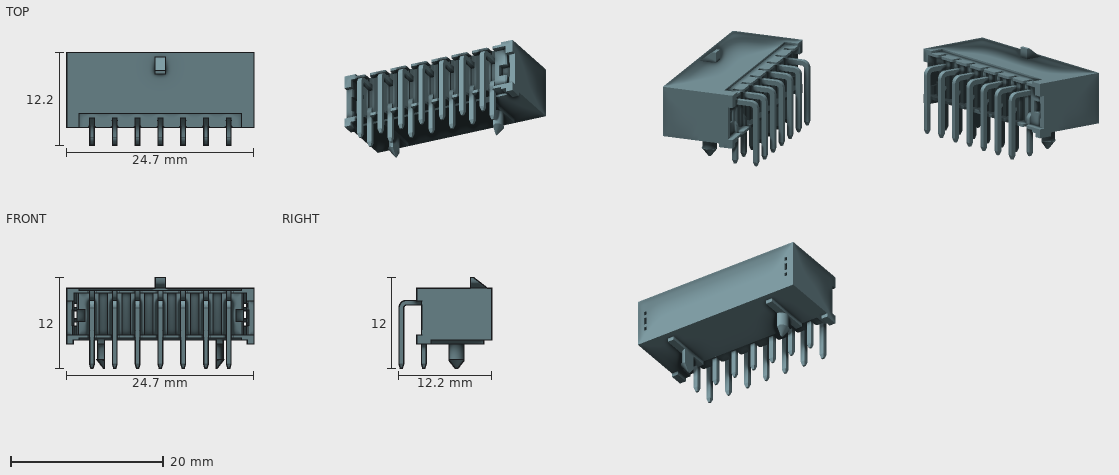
import cadquery as cq


HOUSING_WIDTH = 24.7
HOUSING_DEPTH = 9.9
HOUSING_HEIGHT = 6.85
STANDOFF = 0.52
HOUSING_BOTTOM = STANDOFF
HOUSING_TOP = STANDOFF + HOUSING_HEIGHT
HALF_WIDTH = HOUSING_WIDTH / 2

RECESS_WIDTH = 21.35
RECESS_DEPTH = 1.86
RECESS_TOP_STEP = 0.32
RECESS_BOTTOM_STEP = 0.3

BAY_WIDTH = 22.68
BAY_DEPTH = 0.95
BAY_BOTTOM = 1.2
BAY_TOP = 6.7
BAY_HEIGHT = BAY_TOP - BAY_BOTTOM
SIDE_NOTCH_DEPTH = 0.68
SIDE_NOTCH_TOP = 5.65

COLUMNS = 7
PITCH = 3.0
ROW_SPACING = 3.0
PIN = 0.64
HALF_PIN = PIN / 2
BEND_OUTER_RADIUS = 1.0
BEND_INNER_RADIUS = BEND_OUTER_RADIUS - PIN
PIN_ROOT_Y = 2.5
LONG_TAIL_Y = -2.0
TAIL_SPACING = 2.96
SHORT_TAIL_Y = LONG_TAIL_Y + TAIL_SPACING
HOUSING_MID_Z = (HOUSING_BOTTOM + HOUSING_TOP) / 2
UPPER_ROW_Z = HOUSING_MID_Z + ROW_SPACING / 2
LOWER_ROW_Z = HOUSING_MID_Z - ROW_SPACING / 2
PIN_BOTTOM = -3.18
TIP_LENGTH = 0.56
TIP_WIDTH = 0.3

SLOT_DEPTH = SHORT_TAIL_Y + HALF_PIN
SLOT_MOUTH_RADIUS = 0.28
GROOVE_WIDTH = 1.11
GROOVE_DEPTH = 1.52

GAP_OUTER_X = BAY_WIDTH / 2
GAP_INNER_X = 10.97
GAP_DEPTH = 3.0
POCKET_DEPTH = 2.03
OUTER_FLARE_WIDTH = 0.2
OUTER_FLARE_DEPTH = 0.3
INNER_FLARE_WIDTH = 0.2
INNER_FLARE_DEPTH = 0.16
LATCH_POCKET_INNER_X = 9.92
LATCH_POCKET_Z = (2.98, 4.54)
RELIEF_OUTER_X = 11.65
RELIEF_Z = (2.42, 4.5)
THROUGH_WINDOWS_Z = ((2.38, 2.9), (3.35, 4.39), (4.84, 5.36))

FOOT_WIDTH = 0.92
FOOT_LENGTH = 1.9
RAIL_END_Y = 8.87
PEG_RADIUS = 1.0
PEG_AXIS_X = 7.28
PEG_FLAT_X = 7.34
PEG_Y = 5.26
PEG_CONE_Z = -2.0
PEG_LIP = 0.12
PEG_TIP_RADIUS = 0.2

LATCH_WIDTH = 1.4
LATCH_FRONT_Y = 7.07
LATCH_CREST_END_Y = 7.5
LATCH_RAMP_END_Y = 9.31
LATCH_TOP = 8.78

COLUMN_X = [(i - (COLUMNS - 1) / 2) * PITCH for i in range(COLUMNS)]


def block(x_range, y_range, z_range):
    """Axis-aligned box given by its limits."""
    x0, x1 = x_range
    y0, y1 = y_range
    z0, z1 = z_range
    return cq.Workplane("XY").box(x1 - x0, y1 - y0, z1 - z0, centered=False).translate((x0, y0, z0))


def centered_block(width, y_range, z_range):
    """Box that is symmetric about the YZ plane."""
    return block((-width / 2, width / 2), y_range, z_range)


def both_ends(left):
    """A left-end feature together with its mirror image."""
    return left.union(left.mirror("YZ"))


def shell():
    body = centered_block(HOUSING_WIDTH, (0, HOUSING_DEPTH), (HOUSING_BOTTOM, HOUSING_TOP))
    recess_y = (0, RECESS_DEPTH)
    body = body.cut(centered_block(RECESS_WIDTH, recess_y, (HOUSING_TOP - RECESS_TOP_STEP, HOUSING_TOP)))
    body = body.cut(
        centered_block(RECESS_WIDTH, recess_y, (HOUSING_BOTTOM, HOUSING_BOTTOM + RECESS_BOTTOM_STEP))
    )
    body = body.cut(centered_block(BAY_WIDTH, (0, BAY_DEPTH), (BAY_BOTTOM, BAY_TOP)))
    return body.cut(
        centered_block(HOUSING_WIDTH, (0, SIDE_NOTCH_DEPTH), (BAY_BOTTOM, SIDE_NOTCH_TOP))
    )


def terminal_slot(x):
    """Slot through both plates and into the bay wall, with a rounded mouth."""
    mouth = HALF_PIN + SLOT_MOUTH_RADIUS
    return (
        cq.Workplane("XY", origin=(x, 0, HOUSING_BOTTOM))
        .moveTo(-mouth, 0)
        .radiusArc((-HALF_PIN, SLOT_MOUTH_RADIUS), -SLOT_MOUTH_RADIUS)
        .lineTo(-HALF_PIN, SLOT_DEPTH)
        .lineTo(HALF_PIN, SLOT_DEPTH)
        .lineTo(HALF_PIN, SLOT_MOUTH_RADIUS)
        .radiusArc((mouth, 0), -SLOT_MOUTH_RADIUS)
        .close()
        .extrude(HOUSING_HEIGHT)
    )


def groove(x):
    """Vertical groove in the bay wall, midway between two terminals."""
    half = GROOVE_WIDTH / 2
    return block((x - half, x + half), (0, GROOVE_DEPTH), (BAY_BOTTOM, BAY_TOP))


def end_gap():
    """Cutter for the flared gap, pocket, relief and windows at the left end."""
    gap = block((-GAP_OUTER_X, -GAP_INNER_X), (0, GAP_DEPTH), (BAY_BOTTOM, BAY_TOP))
    outer_flare = (
        cq.Workplane("XY", origin=(0, 0, BAY_BOTTOM))
        .moveTo(-GAP_OUTER_X - OUTER_FLARE_WIDTH, SIDE_NOTCH_DEPTH)
        .lineTo(-GAP_OUTER_X, SIDE_NOTCH_DEPTH)
        .lineTo(-GAP_OUTER_X, SIDE_NOTCH_DEPTH + OUTER_FLARE_DEPTH)
        .close()
        .extrude(SIDE_NOTCH_TOP - BAY_BOTTOM)
    )
    inner_flare = (
        cq.Workplane("XY", origin=(0, 0, BAY_BOTTOM))
        .moveTo(-GAP_INNER_X + INNER_FLARE_WIDTH, BAY_DEPTH)
        .lineTo(-GAP_INNER_X, BAY_DEPTH)
        .lineTo(-GAP_INNER_X, BAY_DEPTH + INNER_FLARE_DEPTH)
        .close()
        .extrude(BAY_HEIGHT)
    )
    pocket = block((-GAP_INNER_X, -LATCH_POCKET_INNER_X), (0, POCKET_DEPTH), LATCH_POCKET_Z)
    relief = block((-RELIEF_OUTER_X, -GAP_OUTER_X), (0, POCKET_DEPTH), RELIEF_Z)
    cutter = gap.union(outer_flare).union(inner_flare).union(pocket).union(relief)
    for window_z in THROUGH_WINDOWS_Z:
        cutter = cutter.union(block((-GAP_OUTER_X, -GAP_INNER_X), (0, HOUSING_DEPTH), window_z))
    return cutter


def foot_and_peg():
    """Corner foot, rail and half-round locating peg at the left end."""
    foot = block((-HALF_WIDTH, -HALF_WIDTH + FOOT_WIDTH), (0, FOOT_LENGTH), (0, HOUSING_BOTTOM))
    peg_x = (-PEG_AXIS_X - PEG_RADIUS, -PEG_FLAT_X)
    rail = block(peg_x, (RECESS_DEPTH, RAIL_END_Y), (0, HOUSING_BOTTOM))
    round_peg = (
        cq.Workplane("XZ", origin=(-PEG_AXIS_X, PEG_Y, 0))
        .moveTo(0, 0)
        .lineTo(PEG_RADIUS, 0)
        .lineTo(PEG_RADIUS, PEG_CONE_Z)
        .lineTo(PEG_RADIUS + PEG_LIP, PEG_CONE_Z)
        .lineTo(PEG_TIP_RADIUS, PIN_BOTTOM)
        .lineTo(0, PIN_BOTTOM)
        .close()
        .revolve(360, (0, 0, 0), (0, 1, 0))
    )
    outer_part = block(
        (-PEG_AXIS_X - PEG_RADIUS - PEG_LIP, -PEG_FLAT_X),
        (PEG_Y - PEG_RADIUS, PEG_Y + PEG_RADIUS),
        (PIN_BOTTOM, 0),
    )
    return foot.union(rail).union(round_peg.intersect(outer_part))


def latch():
    return (
        cq.Workplane("YZ")
        .moveTo(LATCH_FRONT_Y, HOUSING_TOP)
        .lineTo(LATCH_FRONT_Y, LATCH_TOP)
        .lineTo(LATCH_CREST_END_Y, LATCH_TOP)
        .lineTo(LATCH_RAMP_END_Y, HOUSING_TOP)
        .close()
        .extrude(LATCH_WIDTH / 2, both=True)
    )


def terminal(x, row_z, tail_y):
    """Square terminal, bent down to a solder tail with a pyramid tip."""
    outer_y = tail_y - HALF_PIN
    inner_y = tail_y + HALF_PIN
    upper_z = row_z + HALF_PIN
    lower_z = row_z - HALF_PIN
    bend_y = outer_y + BEND_OUTER_RADIUS
    bend_z = upper_z - BEND_OUTER_RADIUS
    tip_z = PIN_BOTTOM + TIP_LENGTH
    bent_bar = (
        cq.Workplane("YZ", origin=(x, 0, 0))
        .moveTo(PIN_ROOT_Y, upper_z)
        .lineTo(bend_y, upper_z)
        .radiusArc((outer_y, bend_z), -BEND_OUTER_RADIUS)
        .lineTo(outer_y, tip_z)
        .lineTo(inner_y, tip_z)
        .lineTo(inner_y, bend_z)
        .radiusArc((bend_y, lower_z), BEND_INNER_RADIUS)
        .lineTo(PIN_ROOT_Y, lower_z)
        .close()
        .extrude(HALF_PIN, both=True)
    )
    tip = (
        cq.Workplane("XY", origin=(x, tail_y, tip_z))
        .rect(PIN, PIN)
        .workplane(offset=-TIP_LENGTH)
        .rect(TIP_WIDTH, TIP_WIDTH)
        .loft()
    )
    return bent_bar.union(tip)


result = shell()
for column_x in COLUMN_X:
    result = result.cut(terminal_slot(column_x))
for column_x in COLUMN_X[:-1]:
    result = result.cut(groove(column_x + PITCH / 2))
result = result.cut(both_ends(end_gap()))
result = result.union(both_ends(foot_and_peg())).union(latch())
for column_x in COLUMN_X:
    result = result.union(terminal(column_x, UPPER_ROW_Z, LONG_TAIL_Y))
    result = result.union(terminal(column_x, LOWER_ROW_Z, SHORT_TAIL_Y))